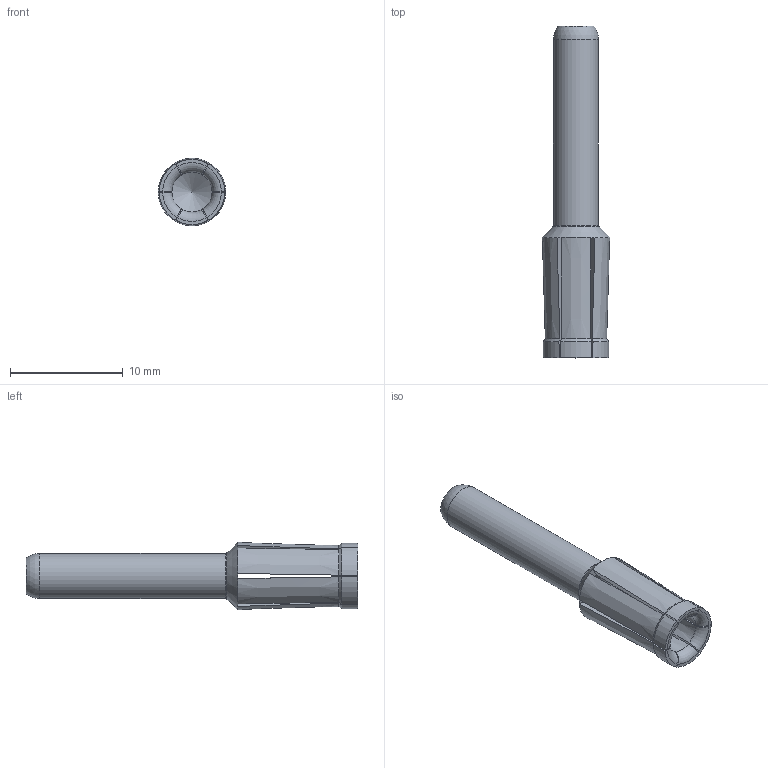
import cadquery as cq
import math

LENGTH = 29.5

PIN_RADIUS = 2.0
TIP_ROUND_RADIUS = 2.0
TIP_ROUND_LENGTH = 1.2

SHOULDER_RADIUS = 3.0
SHOULDER_START = 10.7
SHOULDER_CONE_ANGLE = 45.0
NECK_FILLET_RADIUS = 0.2
FINGER_END_RADIUS = 2.73
COLLAR_RADIUS = 2.9
COLLAR_LENGTH = 1.45
COLLAR_STEP_LENGTH = 0.25

THROAT_RADIUS = 1.78
BORE_ROOT_RADIUS = 2.05
BORE_DEPTH = SHOULDER_START
DRILL_POINT_ANGLE = 118.0
MOUTH_ROUND_RADIUS = 0.83

FINGER_COUNT = 6
SLOT_ROOT_WIDTH = 0.45
SLOT_MOUTH_WIDTH = 0.1

ARC_MIDDLE = math.sqrt(0.5)
AXIS_START = (0, 0, 0)
AXIS_END = (0, 1, 0)


def make_body():
    """Solid of revolution: collar, tapered fingers, shoulder, filleted neck and round-ended pin."""
    tip_start = LENGTH - TIP_ROUND_LENGTH
    tip_round_center = PIN_RADIUS - TIP_ROUND_RADIUS
    tip_angle = math.asin(TIP_ROUND_LENGTH / TIP_ROUND_RADIUS)

    cone_angle = math.radians(SHOULDER_CONE_ANGLE)
    shoulder_end = SHOULDER_START + (SHOULDER_RADIUS - PIN_RADIUS) / math.tan(cone_angle)
    neck_fillet_center = PIN_RADIUS + NECK_FILLET_RADIUS
    neck_fillet_end = shoulder_end + NECK_FILLET_RADIUS * math.tan(cone_angle / 2)

    def neck_point(angle):
        radius = neck_fillet_center - NECK_FILLET_RADIUS * math.cos(angle)
        return radius, neck_fillet_end - NECK_FILLET_RADIUS * math.sin(angle)

    def tip_point(angle):
        radius = tip_round_center + TIP_ROUND_RADIUS * math.cos(angle)
        return radius, tip_start + TIP_ROUND_RADIUS * math.sin(angle)

    return (
        cq.Workplane("XY")
        .moveTo(0, 0)
        .lineTo(COLLAR_RADIUS, 0)
        .lineTo(COLLAR_RADIUS, COLLAR_LENGTH)
        .lineTo(FINGER_END_RADIUS, COLLAR_LENGTH + COLLAR_STEP_LENGTH)
        .lineTo(SHOULDER_RADIUS, SHOULDER_START)
        .lineTo(*neck_point(cone_angle))
        .threePointArc(neck_point(cone_angle / 2), neck_point(0))
        .lineTo(PIN_RADIUS, tip_start)
        .threePointArc(tip_point(tip_angle / 2), tip_point(tip_angle))
        .lineTo(0, LENGTH)
        .close()
        .revolve(360, AXIS_START, AXIS_END)
    )


def make_bore():
    """Tapered bore with a rounded mouth and a drill-point bottom."""
    drill_point_depth = BORE_ROOT_RADIUS / math.tan(math.radians(DRILL_POINT_ANGLE / 2))
    mouth_radius = THROAT_RADIUS + MOUTH_ROUND_RADIUS
    mouth_arc_middle = (
        mouth_radius - MOUTH_ROUND_RADIUS * ARC_MIDDLE,
        MOUTH_ROUND_RADIUS * (1 - ARC_MIDDLE),
    )
    return (
        cq.Workplane("XY")
        .moveTo(0, 0)
        .lineTo(mouth_radius, 0)
        .threePointArc(mouth_arc_middle, (THROAT_RADIUS, MOUTH_ROUND_RADIUS))
        .lineTo(BORE_ROOT_RADIUS, BORE_DEPTH)
        .lineTo(0, BORE_DEPTH + drill_point_depth)
        .close()
        .revolve(360, AXIS_START, AXIS_END)
    )


def make_slot(angle):
    """Wedge-shaped cutter reaching outwards from the axis at the given angle about Y."""
    return (
        cq.Workplane("YZ")
        .moveTo(0, -SLOT_MOUTH_WIDTH / 2)
        .lineTo(SHOULDER_START, -SLOT_ROOT_WIDTH / 2)
        .lineTo(SHOULDER_START, SLOT_ROOT_WIDTH / 2)
        .lineTo(0, SLOT_MOUTH_WIDTH / 2)
        .close()
        .extrude(SHOULDER_RADIUS)
        .rotate(AXIS_START, AXIS_END, angle)
    )


result = make_body().cut(make_bore())
for finger in range(FINGER_COUNT):
    result = result.cut(make_slot(finger * 360 / FINGER_COUNT))